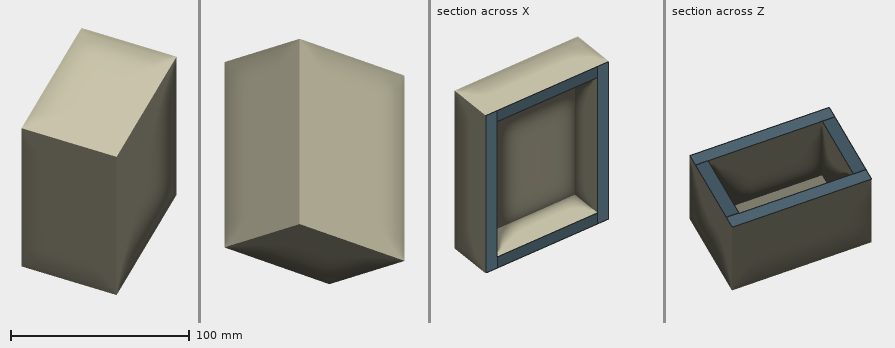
import cadquery as cq

box_width = 57.96
box_depth = 86.0
box_height = 110.0
panel_thickness = 8.0

inner_width = box_width - 2 * panel_thickness
inner_depth = box_depth - 2 * panel_thickness

side_offset = (box_width - panel_thickness) / 2
wall_offset = (box_depth - panel_thickness) / 2
lid_offset = (box_height - panel_thickness) / 2


def side_panel(direction):
    """Full-size panel closing the box at one X end."""
    panel = cq.Workplane("XY").box(panel_thickness, box_depth, box_height)
    return panel.translate((direction * side_offset, 0, 0))


def wall_panel(direction):
    """Full-height panel between the side panels at one Y end."""
    panel = cq.Workplane("XY").box(inner_width, panel_thickness, box_height)
    return panel.translate((0, direction * wall_offset, 0))


def lid_panel(direction):
    """Top or bottom panel, set flush inside the four upright panels."""
    panel = cq.Workplane("XY").box(inner_width, inner_depth, panel_thickness)
    return panel.translate((0, 0, direction * lid_offset))


panels = []
for direction in (-1, 1):
    panels.append(side_panel(direction).val())
    panels.append(wall_panel(direction).val())
    panels.append(lid_panel(direction).val())

result = cq.Compound.makeCompound(panels)